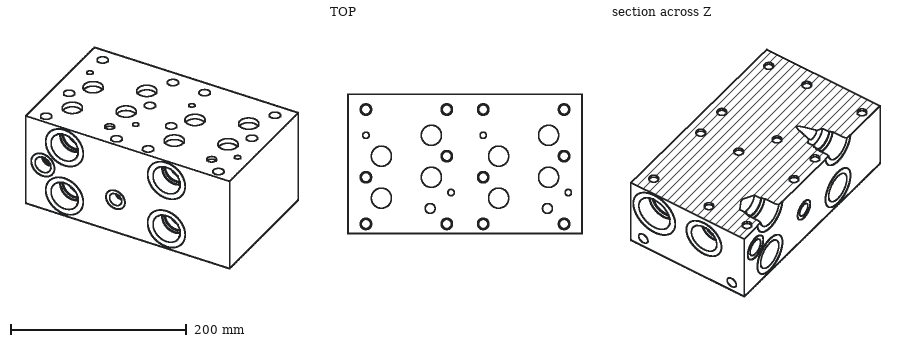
import cadquery as cq
import math

LENGTH = 266.7
WIDTH = 158.7
HEIGHT = 120.5

STATION_COUNT = 2
STATION_PITCH = LENGTH / STATION_COUNT

BOLT_SPACING_X = 92.0
BOLT_LEFT_X = (STATION_PITCH - BOLT_SPACING_X) / 2
BOLT_RIGHT_X = BOLT_LEFT_X + BOLT_SPACING_X
BOLT_FRONT_Y = 11.0
BOLT_BACK_Y = BOLT_FRONT_Y + 130.1
BOLT_LEFT_MIDDLE_Y = BOLT_FRONT_Y + 53.0
BOLT_RIGHT_MIDDLE_Y = BOLT_FRONT_Y + 77.0

PASSAGE_INSET_X = 17.5
PASSAGE_LEFT_X = BOLT_LEFT_X + PASSAGE_INSET_X
PASSAGE_RIGHT_X = BOLT_RIGHT_X - PASSAGE_INSET_X
PASSAGE_PITCH_Y = 47.7
PASSAGE_LEFT_Y = BOLT_FRONT_Y + 29.3
PASSAGE_RIGHT_Y = BOLT_LEFT_MIDDLE_Y
PASSAGE_DIAMETER = 23.0
PASSAGE_DEPTH = 6.5

PILOT_X = BOLT_LEFT_X + 73.0
PILOT_Y = BOLT_FRONT_Y + 17.5
PILOT_DIAMETER = 11.2
PILOT_DEPTH = 3.5

PIN_DIAMETER = 7.2
PIN_DEPTH = 10.7
PIN_LEFT_Y = BOLT_FRONT_Y + 100.8
PIN_RIGHT_X = BOLT_RIGHT_X + 4.8
PIN_RIGHT_Y = BOLT_FRONT_Y + 35.7

BOLT_THREAD_DIAMETER = 12.8
BOLT_THREAD_DEPTH = 26.7
BOLT_DRILL_DIAMETER = 10.7
BOLT_DRILL_DEPTH = 32.0

DRILL_POINT_HALF_ANGLE = 59
SEAT_HALF_ANGLE = 15
SPOTFACE_DEPTH = 0.5

TIP_CONE_DIAMETER = 16.8
TIP_CONE_HALF_ANGLE = 15

WORK_PORT_X = 50.7
PORT_A_Z = 27.0
PORT_B_Z = 93.5
PORT_Y_X = 22.5
PORT_Y_Z = 60.3
GAUGE_PORT_X = 117.3
GAUGE_PORT_Z = 44.5

END_PORT_Z = HEIGHT / 2
PORT_P_Y = 56.5
PORT_T_Y = 126.0
END_BOLT_INSET_Y = 17.5
END_BOLT_Z = 12.5


def cone_height(diameter, half_angle):
    """Height over which a cone with this half angle narrows by the given diameter."""
    return diameter / 2 / math.tan(math.radians(half_angle))


def revolve_profile(profile):
    """Solid of revolution about Z from (diameter, depth) corners; both ends lie on the axis."""
    outline = [(diameter / 2, -depth) for diameter, depth in profile]
    return cq.Workplane("XZ").polyline(outline).close().revolve(360, (0, 0), (0, 1))


def drilled_hole(diameter, depth):
    """Plain hole with a drill point below its full-diameter depth."""
    point_depth = depth + cone_height(diameter, DRILL_POINT_HALF_ANGLE)
    return revolve_profile([(0, 0), (diameter, 0), (diameter, depth), (0, point_depth)])


def threaded_hole():
    """Bolt hole: thread diameter above a longer tap drill."""
    tap_hole = drilled_hole(BOLT_DRILL_DIAMETER, BOLT_DRILL_DEPTH)
    thread = cq.Workplane("XY").circle(BOLT_THREAD_DIAMETER / 2).extrude(-BOLT_THREAD_DEPTH)
    return tap_hole.union(thread)


def port(spotface, seat, thread, tap_drill, bore, thread_depth, tap_depth, bore_depth, steep_tip=False):
    """Port: shallow spotface, tapered seat, thread, tap drill, then bore with a drill point.

    With steep_tip, the drill point stops at the tip cone diameter and goes on as the steep cone.
    """
    seat_depth = SPOTFACE_DEPTH + cone_height(seat - thread, SEAT_HALF_ANGLE)
    profile = [
        (0, 0),
        (spotface, 0),
        (spotface, SPOTFACE_DEPTH),
        (seat, SPOTFACE_DEPTH),
        (thread, seat_depth),
        (thread, thread_depth),
        (tap_drill, thread_depth),
        (tap_drill, tap_depth),
        (bore, tap_depth),
        (bore, bore_depth),
    ]
    if steep_tip:
        tip_start = bore_depth + cone_height(bore - TIP_CONE_DIAMETER, DRILL_POINT_HALF_ANGLE)
        tip_end = tip_start + cone_height(TIP_CONE_DIAMETER, TIP_CONE_HALF_ANGLE)
        profile += [(TIP_CONE_DIAMETER, tip_start), (0, tip_end)]
    else:
        profile.append((0, bore_depth + cone_height(bore, DRILL_POINT_HALF_ANGLE)))
    return revolve_profile(profile)


def work_port(steep_tip):
    return port(
        spotface=49.0, seat=35.5, thread=33.3, tap_drill=31.2, bore=28.5,
        thread_depth=19.2, tap_depth=23.0, bore_depth=32.0, steep_tip=steep_tip,
    )


def on_top(cutter, x, y):
    return cutter.translate((x, y, HEIGHT))


def on_front(cutter, x, z):
    return cutter.rotate((0, 0, 0), (1, 0, 0), 90).translate((x, 0, z))


def on_left(cutter, y, z):
    return cutter.rotate((0, 0, 0), (0, 1, 0), -90).translate((0, y, z))


def station_holes(station_x):
    """Top-face hole pattern of one valve station."""
    bolt_hole = threaded_hole()
    passage = drilled_hole(PASSAGE_DIAMETER, PASSAGE_DEPTH)
    pilot = drilled_hole(PILOT_DIAMETER, PILOT_DEPTH)
    pin_hole = drilled_hole(PIN_DIAMETER, PIN_DEPTH)

    holes = []
    for x, middle_y in ((BOLT_LEFT_X, BOLT_LEFT_MIDDLE_Y), (BOLT_RIGHT_X, BOLT_RIGHT_MIDDLE_Y)):
        for y in (BOLT_FRONT_Y, middle_y, BOLT_BACK_Y):
            holes.append(on_top(bolt_hole, station_x + x, y))
    for x, first_y in ((PASSAGE_LEFT_X, PASSAGE_LEFT_Y), (PASSAGE_RIGHT_X, PASSAGE_RIGHT_Y)):
        for y in (first_y, first_y + PASSAGE_PITCH_Y):
            holes.append(on_top(passage, station_x + x, y))
    for x, y in ((BOLT_LEFT_X, PIN_LEFT_Y), (PIN_RIGHT_X, PIN_RIGHT_Y)):
        holes.append(on_top(pin_hole, station_x + x, y))
    holes.append(on_top(pilot, station_x + PILOT_X, PILOT_Y))
    return holes


def front_ports():
    """A and B work ports of each station, the Y port and the gauge port."""
    port_y = port(
        spotface=30.5, seat=20.5, thread=19.0, tap_drill=17.5, bore=14.5,
        thread_depth=14.7, tap_depth=17.3, bore_depth=26.7,
    )
    gauge_port = port(
        spotface=24.8, seat=15.7, thread=14.5, tap_drill=12.8, bore=11.2,
        thread_depth=12.8, tap_depth=16.0, bore_depth=26.7,
    )
    holes = [
        on_front(port_y, PORT_Y_X, PORT_Y_Z),
        on_front(gauge_port, GAUGE_PORT_X, GAUGE_PORT_Z),
    ]
    for station in range(STATION_COUNT):
        x = station * STATION_PITCH + WORK_PORT_X
        holes.append(on_front(work_port(steep_tip=True), x, PORT_A_Z))
        holes.append(on_front(work_port(steep_tip=station > 0), x, PORT_B_Z))
    return holes


def left_holes():
    """P and T ports above a pair of bolt holes."""
    port_p = port(
        spotface=49.0, seat=35.5, thread=33.3, tap_drill=31.2, bore=27.0,
        thread_depth=19.2, tap_depth=23.0, bore_depth=37.3,
    )
    port_t = port(
        spotface=58.7, seat=43.5, thread=41.3, tap_drill=39.2, bore=35.5,
        thread_depth=19.2, tap_depth=23.0, bore_depth=37.3,
    )
    holes = [
        on_left(port_p, PORT_P_Y, END_PORT_Z),
        on_left(port_t, PORT_T_Y, END_PORT_Z),
    ]
    for y in (END_BOLT_INSET_Y, WIDTH - END_BOLT_INSET_Y):
        holes.append(on_left(threaded_hole(), y, END_BOLT_Z))
    return holes


result = cq.Workplane("XY").box(LENGTH, WIDTH, HEIGHT, centered=False)
cutters = front_ports() + left_holes()
for index in range(STATION_COUNT):
    cutters += station_holes(index * STATION_PITCH)
for cutter in cutters:
    result = result.cut(cutter)